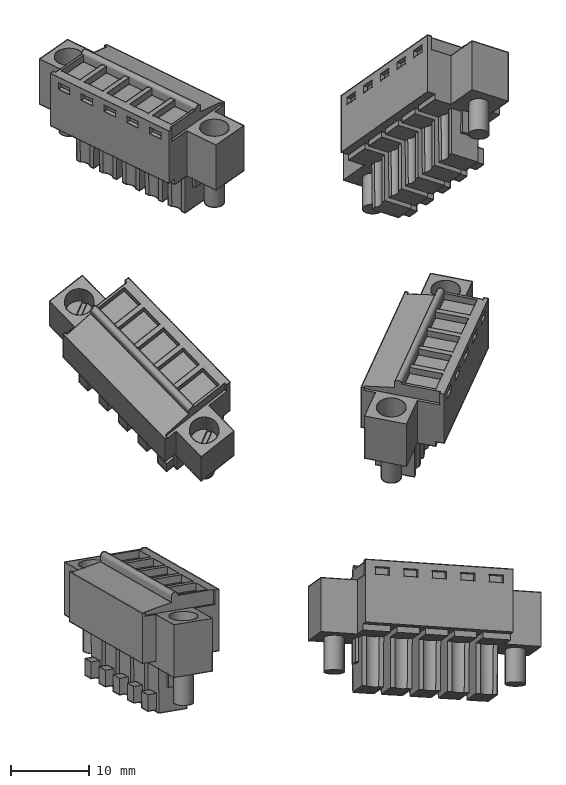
import cadquery as cq
import math


overall_length = 29.45
housing_length = 19.75
front_y = -6.4
rear_y = 4.7
step_front_y = -5.25
base_height = 0.8
housing_top = 9.05
flange_depth = 5.6
flange_top = 7.1

lip_thickness = 0.38
lip_top = 7.5
slope_top = 8.25
ridge_radius = 0.5
ridge_center_y = -0.15
end_recess_depth = 0.35
end_recess_front_wall = 0.62

contact_count = 5
contact_row_length = 15.25
pocket_width = 3.12
pocket_front_wall = 1.32
pocket_depth = 1.0
terminal_height = 5.9
window_width = 1.88
window_height = 1.0
window_depth = 0.62
window_bottom = 7.15

finger_width = 2.95
finger_front_y = -2.2
finger_rear_y = 1.97
finger_length = 6.57
finger_draft = 0.5
groove_radius = 1.25
groove_depth = 0.35
lug_width = 1.7
lug_reach = 1.25
lug_top = -4.03
lug_height = 2.25
rib_thickness = 0.38
rib_depth = 1.47
rib_length = 3.15

screw_inset = 2.6
head_diameter = 3.77
head_height = 1.77
head_seat_z = 1.77
stem_diameter = 2.62
stem_end = -4.5
driver_slot_width = 0.62
driver_slot_depth = 0.45
driver_slot_angle = 117.0

flange_rear_y = flange_depth / 2
ridge_top = housing_top + ridge_radius
ridge_front_y = ridge_center_y - ridge_radius
ridge_rear_y = ridge_center_y + ridge_radius
pitch = contact_row_length / (contact_count - 1)
contact_xs = [i * pitch - contact_row_length / 2 for i in range(contact_count)]
gap_xs = [x + pitch / 2 for x in contact_xs[:-1]]
pocket_front_y = front_y + pocket_front_wall
terminal_top = housing_top - pocket_depth
terminal_bottom = terminal_top - terminal_height
screw_x = overall_length / 2 - screw_inset
screw_xs = [-screw_x, screw_x]


def block(x_min, x_max, y_min, y_max, z_min, z_max):
    """Axis-aligned box between two opposite corners."""
    return cq.Workplane("XY").box(
        x_max - x_min, y_max - y_min, z_max - z_min, centered=False
    ).translate((x_min, y_min, z_min))


def centered_block(x, width, y_min, y_max, z_min, z_max):
    """Axis-aligned box of a given width, centred on x."""
    return block(x - width / 2, x + width / 2, y_min, y_max, z_min, z_max)


def cylinder(x, diameter, z_min, z_max):
    """Vertical cylinder on the line of the screw axes (y = 0)."""
    return cq.Workplane("XY", origin=(x, 0, z_min)).circle(diameter / 2).extrude(z_max - z_min)


def main_body():
    """Side profile in YZ, with the label slope and rounded ridge, run along X."""
    profile = (
        cq.Workplane("YZ", origin=(-housing_length / 2, 0, 0))
        .moveTo(step_front_y, 0)
        .lineTo(flange_rear_y, 0)
        .lineTo(flange_rear_y, base_height)
        .lineTo(rear_y, base_height)
        .lineTo(rear_y, lip_top)
        .lineTo(rear_y - lip_thickness, lip_top)
        .lineTo(ridge_rear_y, slope_top)
        .lineTo(ridge_rear_y, housing_top)
        .threePointArc((ridge_center_y, ridge_top), (ridge_front_y, housing_top))
        .lineTo(front_y, housing_top)
        .lineTo(front_y, base_height)
        .lineTo(step_front_y, base_height)
        .close()
    )
    return profile.extrude(housing_length)


def end_recess(side):
    """Shallow step in the end face above flange level; side is -1 or +1."""
    outer = side * housing_length / 2
    inner = outer - side * end_recess_depth
    return block(
        min(outer, inner), max(outer, inner),
        front_y + end_recess_front_wall, rear_y - lip_thickness,
        flange_top, ridge_top,
    )


def finger(x):
    """Drafted plug finger with a round front groove and a rear latching lug."""
    finger_depth = finger_rear_y - finger_front_y
    middle_y = (finger_rear_y + finger_front_y) / 2
    body = (
        cq.Workplane("XY", origin=(x, middle_y, 0))
        .rect(finger_width, finger_depth)
        .extrude(-finger_length, taper=finger_draft)
    )
    groove_y = finger_front_y + groove_depth - groove_radius
    groove = cq.Workplane("XY", origin=(x, groove_y, 0)).circle(groove_radius).extrude(-finger_length)
    draft_shift = finger_length * math.tan(math.radians(finger_draft))
    lug = centered_block(
        x, lug_width,
        finger_rear_y - draft_shift, finger_rear_y + lug_reach,
        lug_top - lug_height, lug_top,
    )
    return body.cut(groove).union(lug)


def polarising_rib(side):
    """Short rib on the outer side of an end finger, rooted at its centre; side is -1 or +1."""
    outer_face = contact_row_length / 2 + finger_width / 2
    center = side * contact_row_length / 2
    outer = side * (outer_face + rib_thickness)
    return block(
        min(center, outer), max(center, outer),
        -rib_depth / 2, rib_depth / 2, -rib_length, 0,
    )


def screw_bore(x):
    """Counterbore for the screw head above a through hole for the stem."""
    counterbore = cylinder(x, head_diameter, head_seat_z, flange_top)
    return counterbore.union(cylinder(x, stem_diameter, 0, head_seat_z))


def make_housing():
    """Body, flanges and plug fingers, with the pockets, windows, gaps and screw bores cut out."""
    housing = main_body()
    for side in (-1, 1):
        housing = housing.cut(end_recess(side))
    housing = housing.union(
        centered_block(0, overall_length, -flange_depth / 2, flange_rear_y, 0, flange_top)
    )
    for x in contact_xs:
        housing = housing.union(finger(x))
        housing = housing.cut(
            centered_block(x, pocket_width, pocket_front_y, ridge_front_y, terminal_bottom, housing_top)
        )
        housing = housing.cut(
            centered_block(
                x, window_width, front_y, front_y + window_depth,
                window_bottom, window_bottom + window_height,
            )
        )
    for side in (-1, 1):
        housing = housing.union(polarising_rib(side))
    for x in gap_xs:
        housing = housing.cut(
            centered_block(x, pitch - finger_width, step_front_y, finger_rear_y, 0, base_height)
        )
    for x in screw_xs:
        housing = housing.cut(screw_bore(x))
    return housing


def make_terminal(x):
    """Terminal block whose top forms the floor of the wire pocket."""
    return centered_block(x, pocket_width, pocket_front_y, ridge_front_y, terminal_bottom, terminal_top)


def make_screw(x):
    """Slotted screw: cylindrical head seated in the flange, stem passing through it."""
    head_top = head_seat_z + head_height
    driver_slot = (
        cq.Workplane("XY", origin=(x, 0, head_top - driver_slot_depth))
        .transformed(rotate=(0, 0, driver_slot_angle))
        .rect(2 * head_diameter, driver_slot_width)
        .extrude(driver_slot_depth)
    )
    head = cylinder(x, head_diameter, head_seat_z, head_top).cut(driver_slot)
    return head.union(cylinder(x, stem_diameter, stem_end, head_seat_z))


housing = make_housing()
terminals = [make_terminal(x) for x in contact_xs]
screws = [make_screw(x) for x in screw_xs]

result = cq.Compound.makeCompound(
    [housing.val(), *[terminal.val() for terminal in terminals], *[screw.val() for screw in screws]]
)